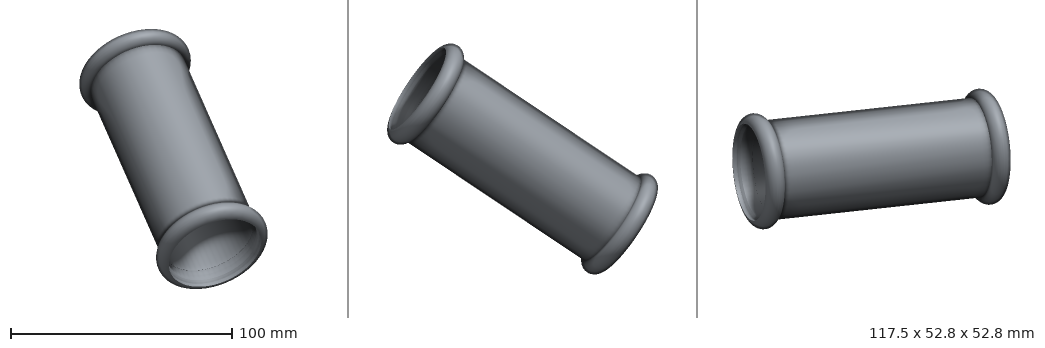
import cadquery as cq
import math

length = 117.5
tube_radius = 45.4 / 2
bore_radius = 42.4 / 2

overall_diameter = 52.8
bead_radius = 4.6
bead_ring_radius = overall_diameter / 2 - bead_radius

mouth_radius = 22.1
seal_radius = 21.4
seat_radius = 42.7 / 2
mouth_depth = 2.0
seal_start = 3.4
seal_end = 6.3
seat_start = 8.2
seat_end = 9.3

rise = tube_radius - bead_ring_radius
bead_end = bead_radius + math.sqrt(bead_radius**2 - rise**2)
middle = length / 2

half_profile = (
    cq.Workplane("XY")
    .moveTo(middle, bore_radius)
    .lineTo(middle, tube_radius)
    .lineTo(bead_end, tube_radius)
    .threePointArc((bead_radius, overall_diameter / 2), (0, mouth_radius))
    .lineTo(mouth_depth, mouth_radius)
    .lineTo(seal_start, seal_radius)
    .lineTo(seal_end, seal_radius)
    .lineTo(seat_start, seat_radius)
    .lineTo(seat_end, seat_radius)
    .lineTo(seat_end, bore_radius)
    .close()
)

half_tube = half_profile.revolve(360, (0, 0, 0), (1, 0, 0)).translate((-middle, 0, 0))
result = half_tube.union(half_tube.mirror("YZ")).clean()